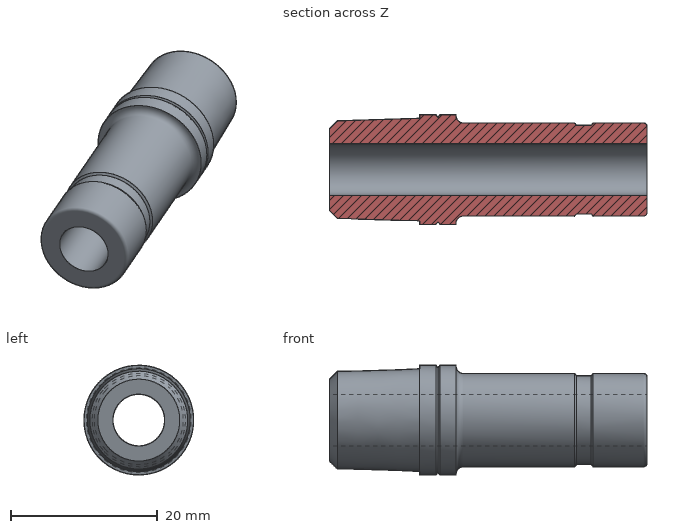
import cadquery as cq
import math

length = 43.3
bore_radius = 3.5

nose_chamfer = 1.1
nose_radius = 6.65
taper_end = 12.3
radial_slope = 1 / 32

collar_radius = 7.5
collar_end = 17.28
collar_middle = (taper_end + collar_end) / 2
v_half_width = 0.25
v_depth = 0.35

stem_radius = 6.35
root_fillet = 1.0
groove_radius = 6.05
groove_start = 33.43
groove_end = 35.95
groove_bevel = 0.25
tip_round = 0.48


def taper_radius(x):
    """Outer radius of the pipe cone at distance x from the nose face."""
    return nose_radius + radial_slope * (x - nose_chamfer)


def arc_middle(center, radius, degrees):
    """Point on a circle, used as the middle point of an arc."""
    angle = math.radians(degrees)
    return (center[0] + radius * math.cos(angle), center[1] + radius * math.sin(angle))


root_center = (collar_end + root_fillet, stem_radius + root_fillet)
tip_center = (length - tip_round, stem_radius - tip_round)

profile = (
    cq.Workplane("XY")
    .moveTo(0, bore_radius)
    .lineTo(0, nose_radius - nose_chamfer)
    .lineTo(nose_chamfer, nose_radius)
    .lineTo(taper_end, taper_radius(taper_end))
    .lineTo(taper_end, collar_radius)
    .lineTo(collar_middle - v_half_width, collar_radius)
    .lineTo(collar_middle, collar_radius - v_depth)
    .lineTo(collar_middle + v_half_width, collar_radius)
    .lineTo(collar_end, collar_radius)
    .lineTo(collar_end, root_center[1])
    .threePointArc(arc_middle(root_center, root_fillet, 225), (root_center[0], stem_radius))
    .lineTo(groove_start, stem_radius)
    .lineTo(groove_start + groove_bevel, groove_radius)
    .lineTo(groove_end - groove_bevel, groove_radius)
    .lineTo(groove_end, stem_radius)
    .lineTo(tip_center[0], stem_radius)
    .threePointArc(arc_middle(tip_center, tip_round, 45), (length, tip_center[1]))
    .lineTo(length, bore_radius)
    .close()
)

result = profile.revolve(360, (0, 0, 0), (1, 0, 0))